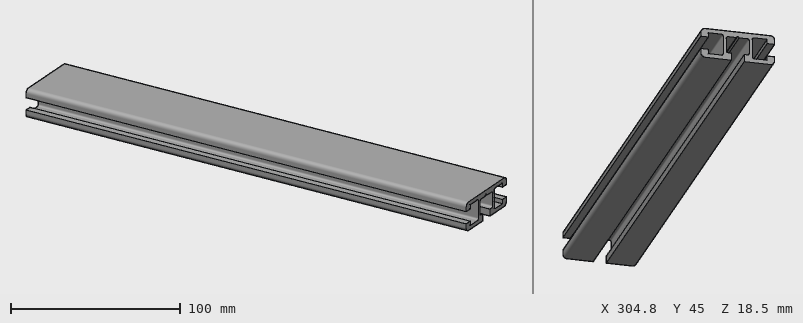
import cadquery as cq

LENGTH = 304.8
WIDTH = 45.0
HEIGHT = 18.5
CORNER_RADIUS = 2.7

SIDE_OPENING = 8.0
SIDE_LIP_DEPTH = 4.5
SIDE_CHAMBER_HEIGHT = 13.5

CHANNEL_WIDTH = 14.0
CHANNEL_ROOF = 3.7
BOTTOM_OPENING = 8.0
BOTTOM_LIP_HEIGHT = 4.5
WEB_THICKNESS = 1.8
WEB_FILLET = 1.2

GROOVE_WIDTH = 1.8
GROOVE_DEPTH = 1.0


def bar(width, height, y, z):
    """Full-length rectangular bar centred at the given Y and Z."""
    return cq.Workplane("XY").box(LENGTH, width, height).translate((0, y, z))


def side_slot(side):
    """T-slot on one long side; side is -1 or 1 along Y."""
    chamber_inner = CHANNEL_WIDTH / 2 + WEB_THICKNESS
    chamber_outer = WIDTH / 2 - SIDE_LIP_DEPTH
    chamber = bar(
        chamber_outer - chamber_inner,
        SIDE_CHAMBER_HEIGHT,
        side * (chamber_outer + chamber_inner) / 2,
        0,
    )
    web_side = "<Y" if side > 0 else ">Y"
    chamber = chamber.faces(web_side).edges("|X").fillet(WEB_FILLET)
    mouth_depth = WIDTH / 2 - chamber_inner
    mouth = bar(mouth_depth, SIDE_OPENING, side * (WIDTH - mouth_depth) / 2, 0)
    return chamber.union(mouth)


def bottom_channel():
    """Central channel with a narrower opening through the bottom."""
    channel_top = HEIGHT / 2 - CHANNEL_ROOF
    channel_bottom = -HEIGHT / 2 + BOTTOM_LIP_HEIGHT
    channel = bar(
        CHANNEL_WIDTH,
        channel_top - channel_bottom,
        0,
        (channel_top + channel_bottom) / 2,
    ).edges("|X").fillet(WEB_FILLET)
    mouth_height = channel_top + HEIGHT / 2
    mouth = bar(BOTTOM_OPENING, mouth_height, 0, (mouth_height - HEIGHT) / 2)
    return channel.union(mouth)


def roof_groove():
    """V-groove cut upward into the middle of the channel roof."""
    roof = HEIGHT / 2 - CHANNEL_ROOF
    return (
        cq.Workplane("YZ", origin=(-LENGTH / 2, 0, 0))
        .moveTo(-GROOVE_WIDTH / 2, roof)
        .lineTo(GROOVE_WIDTH / 2, roof)
        .lineTo(0, roof + GROOVE_DEPTH)
        .close()
        .extrude(LENGTH)
    )


result = bar(WIDTH, HEIGHT, 0, 0).edges("|X").fillet(CORNER_RADIUS)
for side in (-1, 1):
    result = result.cut(side_slot(side))
result = result.cut(bottom_channel()).cut(roof_groove())